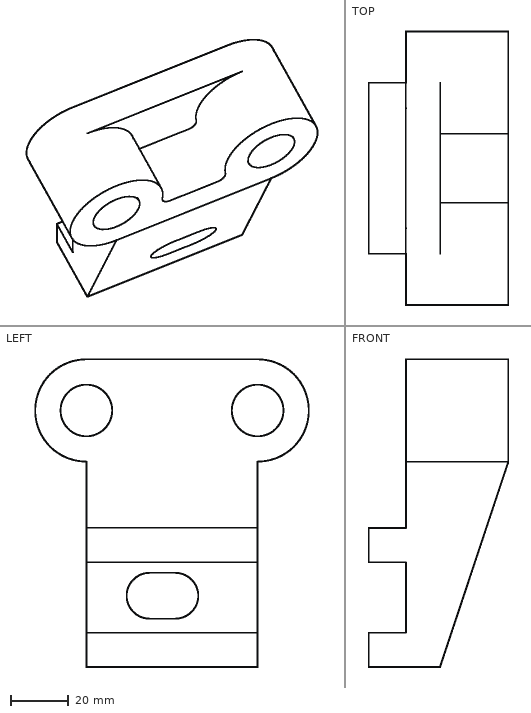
import cadquery as cq
import math

height = 108.0
boss_diameter = 36.0
boss_radius = boss_diameter / 2
boss_length = 36.0
boss_spacing = 60.0
bore_diameter = 18.0
boss_height = height - boss_radius

plate_thickness = 12.0
body_width = boss_spacing
wedge_top = height - boss_diameter

bridge_thickness = 12.0
bridge_top = wedge_top + bridge_thickness
corner_fillet = 3.0

rail_depth = 13.1
rail_height = 12.1
upper_rail_base = 36.7

slot_length = 25.1
slot_height = 16.0
slot_offset = 3.3
slot_center_height = 25.1

plate_front = rail_depth
boss_back = plate_front + boss_length
plate_back = plate_front + plate_thickness
boss_positions = [(side * boss_spacing / 2, boss_height) for side in (-1, 1)]


def extrude_profile(points):
    """Extrude an XZ outline across the body width, centred on Y."""
    return cq.Workplane("XZ").polyline(points).close().extrude(body_width / 2, both=True)


def make_body():
    return extrude_profile([
        (plate_front, 0),
        (plate_back, 0),
        (boss_back, wedge_top),
        (plate_back, wedge_top),
        (plate_back, height),
        (plate_front, height),
    ])


def make_rail(base):
    return extrude_profile([
        (0, base),
        (plate_front, base),
        (plate_front, base + rail_height),
        (0, base + rail_height),
    ])


def make_bosses():
    return (
        cq.Workplane("YZ", origin=(plate_front, 0, 0))
        .pushPoints(boss_positions)
        .circle(boss_radius)
        .extrude(boss_length)
    )


def make_bridge():
    """Flat-topped web joining the lower parts of the two bosses."""
    return cq.Workplane("XY", origin=(plate_front, 0, wedge_top)).box(
        boss_length, boss_spacing, bridge_thickness, centered=(False, True, False)
    )


def round_bridge_corners(part):
    """Fillet the two inner corners where the bridge top meets the bosses."""
    reach = math.sqrt(boss_radius**2 - (boss_height - bridge_top) ** 2)
    corner_y = boss_spacing / 2 - reach
    middle_x = (plate_back + boss_back) / 2
    for side in (-1, 1):
        corner = cq.selectors.NearestToPointSelector((middle_x, side * corner_y, bridge_top))
        part = part.edges(corner).fillet(corner_fillet)
    return part


def make_bores():
    return (
        cq.Workplane("YZ", origin=(plate_front, 0, 0))
        .pushPoints(boss_positions)
        .circle(bore_diameter / 2)
        .extrude(boss_length)
    )


def make_slot():
    return (
        cq.Workplane("YZ")
        .center(slot_offset, slot_center_height)
        .slot2D(slot_length, slot_height)
        .extrude(boss_back)
    )


result = make_body().union(make_bridge()).union(make_bosses())
result = round_bridge_corners(result)
for rail_base in (0, upper_rail_base):
    result = result.union(make_rail(rail_base))
result = result.cut(make_bores()).cut(make_slot())